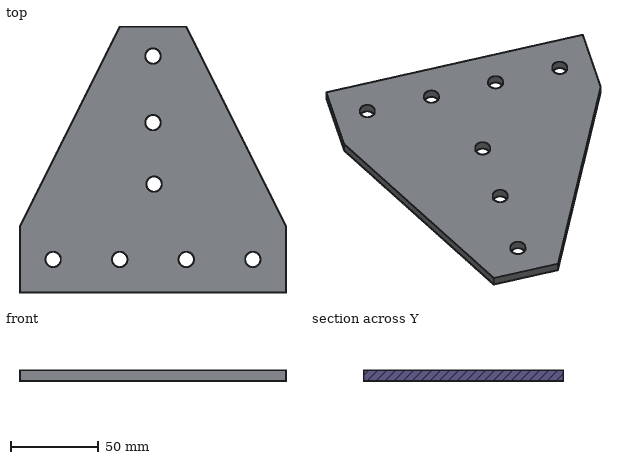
import cadquery as cq

size = 152.4
thickness = 6.4
module = size / 4

hole_diameter = 8.7
row_y = module / 2
stem_top_y = 135.5
stem_low_y = 62.2
stem_low_x = 0.6

row_holes = [((i - 1.5) * module, row_y) for i in range(4)]
stem_holes = [
    (0, stem_top_y),
    (0, stem_top_y - module),
    (stem_low_x, stem_low_y),
]

plate = (
    cq.Workplane("XY")
    .moveTo(-size / 2, 0)
    .lineTo(size / 2, 0)
    .lineTo(size / 2, module)
    .lineTo(module / 2, size)
    .lineTo(-module / 2, size)
    .lineTo(-size / 2, module)
    .close()
    .extrude(thickness)
)

hole_cutters = (
    cq.Workplane("XY")
    .pushPoints(row_holes + stem_holes)
    .circle(hole_diameter / 2)
    .extrude(thickness)
)

result = plate.cut(hole_cutters)